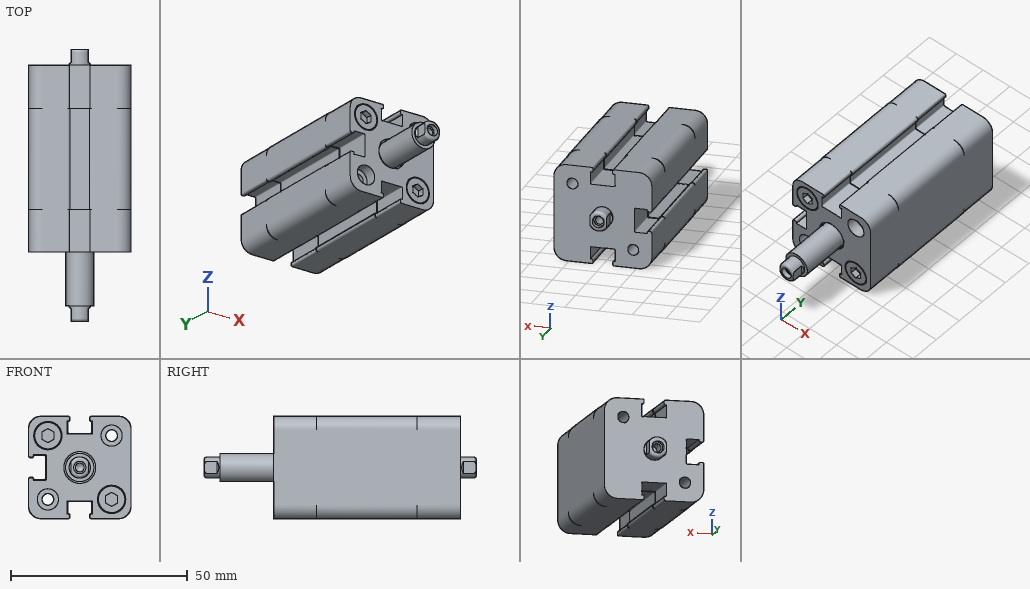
import cadquery as cq
import math


total_length = 77.0
body_width = 29.0
tip_length = 4.5
rod_extension = 15.2
rear_cap_length = 12.3
front_cap_length = 12.1

rod_tip_front = -total_length / 2
rod_shoulder = rod_tip_front + tip_length
body_front = rod_shoulder + rod_extension
tube_front = body_front + front_cap_length
rod_tip_rear = total_length / 2
body_rear = rod_tip_rear - tip_length
tube_rear = body_rear - rear_cap_length

slot_clearance = 0.2
slot_shoulder = 3.4
slot_floor_radius = 0.3
tube_corner_radius = 3.55
tube_throat = 2.7
tube_lip_depth = 1.55
tube_slot_depth = 4.85
tube_slot_wall = slot_shoulder

cap_corner_radius = tube_corner_radius + slot_clearance
cap_throat = tube_throat + slot_clearance
cap_lip_depth = 1.4
cap_slot_depth = tube_slot_depth + slot_clearance
cap_slot_wall = tube_slot_wall + slot_clearance
slot_angles = (0, 180, -90)

bolt_offset = 9.0
screw_recess_diameter = 8.0
screw_head_diameter = 7.5
screw_recess_depth = 4.0
socket_flats = 3.5
socket_depth = 2.0
mount_hole_diameter = 3.2
mount_recess_diameter = 6.0
mount_recess_depth = 3.7
screw_corners = ((-bolt_offset, bolt_offset), (bolt_offset, -bolt_offset))
mount_corners = ((-bolt_offset, -bolt_offset), (bolt_offset, bolt_offset))

rod_diameter = 8.0
rod_seal_diameter = 9.0
rod_seal_depth = 0.8
tip_diameter = 6.0
tip_edge_radius = 0.85
tip_half_flats = 2.5
tip_flat_length = 3.6
bore_mouth_diameter = 3.5
bore_mouth_depth = 1.55
bore_diameter = 2.5
bore_depth = 6.15
drill_half_angle = 59.0


def section_plane(y):
    """Sketch plane across the rod axis: local x is X, local y is Z, extruding toward +Y."""
    return cq.Workplane(cq.Plane(origin=(0, y, 0), xDir=(1, 0, 0), normal=(0, -1, 0)))


def cylinder(diameter, start, end, x=0, z=0):
    return section_plane(start).center(x, z).circle(diameter / 2).extrude(start - end)


def slot(throat, lip_depth, depth, wall, start, end):
    """T-slot cutter in the +Z side, with a rounded lip on each side of its mouth."""
    top = body_width / 2
    lip_bottom = top - lip_depth
    floor = top - depth
    lip_radius = slot_shoulder - throat
    half = (
        section_plane(start)
        .moveTo(slot_shoulder, top)
        .radiusArc((throat, top - lip_radius), -lip_radius)
        .lineTo(throat, lip_bottom + lip_radius)
        .radiusArc((slot_shoulder, lip_bottom), -lip_radius)
    )
    if wall > slot_shoulder:
        half = half.lineTo(wall, lip_bottom)
    half = (
        half.lineTo(wall, floor + slot_floor_radius)
        .radiusArc((wall - slot_floor_radius, floor), slot_floor_radius)
        .lineTo(0, floor)
        .lineTo(0, top)
        .close()
        .extrude(start - end)
    )
    return half.union(half.mirror("YZ"))


def slotted_block(start, end, corner_radius, throat, lip_depth, slot_depth, wall):
    block = section_plane(start).rect(body_width, body_width).extrude(start - end)
    block = block.edges("|Y").fillet(corner_radius)
    cutter = slot(throat, lip_depth, slot_depth, wall, start, end)
    for angle in slot_angles:
        block = block.cut(cutter.rotate((0, 0, 0), (0, 1, 0), angle))
    return block


def end_cap(start, end):
    return slotted_block(
        start, end, cap_corner_radius, cap_throat,
        cap_lip_depth, cap_slot_depth, cap_slot_wall,
    )


def tube():
    return slotted_block(
        tube_front, tube_rear, tube_corner_radius, tube_throat,
        tube_lip_depth, tube_slot_depth, tube_slot_wall,
    )


def rod_end():
    """Front rod tip: a rounded pin with two wrench flats."""
    tip = cylinder(tip_diameter, rod_tip_front, rod_shoulder).faces("<Y").edges().fillet(tip_edge_radius)
    flat_end = rod_tip_front + tip_flat_length
    runout = tip_diameter / 2 - tip_half_flats
    flat = (
        cq.Workplane("XY")
        .moveTo(tip_half_flats, rod_tip_front)
        .lineTo(tip_half_flats, flat_end)
        .lineTo(tip_half_flats + runout, flat_end + runout)
        .lineTo(tip_half_flats + runout, rod_tip_front)
        .close()
        .extrude(tip_diameter / 2, both=True)
    )
    return tip.cut(flat).cut(flat.mirror("YZ"))


def rod_bore():
    """Stepped bore in the front rod tip, ending in a drill cone."""
    mouth_end = rod_tip_front + bore_mouth_depth
    bore_end = rod_tip_front + bore_depth
    cone_length = bore_diameter / 2 / math.tan(math.radians(drill_half_angle))
    return (
        cq.Workplane("XY")
        .moveTo(0, rod_tip_front)
        .lineTo(bore_mouth_diameter / 2, rod_tip_front)
        .lineTo(bore_mouth_diameter / 2, mouth_end)
        .lineTo(bore_diameter / 2, mouth_end)
        .lineTo(bore_diameter / 2, bore_end)
        .lineTo(0, bore_end + cone_length)
        .close()
        .revolve(360, (0, 0, 0), (0, 1, 0))
    )


body = tube()
body = body.union(end_cap(body_front, tube_front), clean=False)
body = body.union(end_cap(tube_rear, body_rear), clean=False)

recess_floor = body_front + screw_recess_depth
socket_sides = 6
socket_turn = 180 / socket_sides
socket_corner_diameter = socket_flats / math.cos(math.radians(socket_turn))
for x, z in screw_corners:
    ring = cylinder(screw_recess_diameter, body_front, recess_floor, x, z)
    ring = ring.cut(cylinder(screw_head_diameter, body_front, recess_floor, x, z))
    socket = section_plane(body_front).polygon(socket_sides, socket_corner_diameter).extrude(-socket_depth)
    socket = socket.rotate((0, 0, 0), (0, 1, 0), socket_turn).translate((x, 0, z))
    body = body.cut(ring, clean=False).cut(socket, clean=False)

for x, z in mount_corners:
    hole = cylinder(mount_hole_diameter, body_front, body_rear, x, z)
    recess = cylinder(mount_recess_diameter, body_front, body_front + mount_recess_depth, x, z)
    body = body.cut(hole, clean=False).cut(recess, clean=False)

groove_floor = body_front + rod_seal_depth
body = body.cut(cylinder(rod_seal_diameter, body_front, groove_floor), clean=False)
body = body.union(cylinder(rod_diameter, rod_shoulder, groove_floor), clean=False)

front_end = rod_end()
front_bore = rod_bore()
body = body.union(front_end, clean=False).cut(front_bore, clean=False)
body = body.union(front_end.mirror("XZ"), clean=False).cut(front_bore.mirror("XZ"), clean=False)

result = body